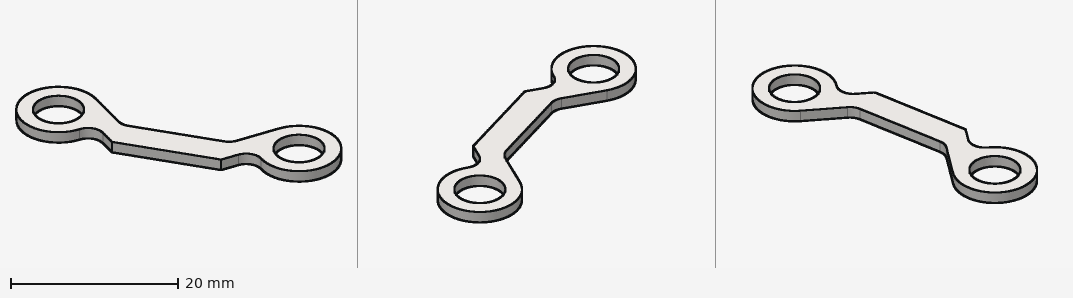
import cadquery as cq
import math

thickness = 1.5
eye_spacing = 30.0
eye_diameter = 10.1
hole_diameter = 6.1
bar_width = 4.0
arm_angle = 45.0
bend_radius = 2.0
notch_radius = 2.0

eye_radius = eye_diameter / 2
eye_x = eye_spacing / 2
bar_bottom = -eye_radius
bar_top = bar_bottom + bar_width

arm_sine = math.sin(math.radians(arm_angle))
arm_cosine = math.cos(math.radians(arm_angle))
arm_tangent = math.tan(math.radians(arm_angle))
half_bend = math.radians(arm_angle / 2)

tangent_x = eye_x - eye_radius * arm_sine
tangent_y = eye_radius * arm_cosine
bar_end_x = tangent_x - (tangent_y - bar_top) / arm_tangent


def arm_offset(along, across):
    """X and Y offsets for distances up the arm and to the upper left across it."""
    x = along * arm_cosine - across * arm_sine
    y = along * arm_sine + across * arm_cosine
    return x, y


def notch_center():
    """Center of the notch arc, tangent to the eye and to the lower arm edge."""
    lower_edge_distance = (eye_x - bar_end_x) * arm_sine + bar_bottom * arm_cosine
    across = lower_edge_distance - notch_radius
    along = -math.sqrt((eye_radius + notch_radius) ** 2 - across**2)
    x, y = arm_offset(along, across)
    return eye_x + x, y


def right_half():
    """Right half of the link without its hole, from the middle plane outward."""
    bend_x = bar_end_x - bend_radius * math.tan(half_bend)
    bend_y = bar_top + bend_radius
    bend_middle = (
        bend_x + bend_radius * math.sin(half_bend),
        bend_y - bend_radius * math.cos(half_bend),
    )
    bend_end = (bend_x + bend_radius * arm_sine, bend_y - bend_radius * arm_cosine)

    notch_x, notch_y = notch_center()
    eye_share = eye_radius / (eye_radius + notch_radius)
    eye_end = (eye_x + (notch_x - eye_x) * eye_share, notch_y * eye_share)
    notch_top = (notch_x, notch_y + notch_radius)
    to_edge_x, to_edge_y = arm_offset(0, notch_radius)
    notch_end = (notch_x + to_edge_x, notch_y + to_edge_y)

    return (
        cq.Workplane("XY")
        .moveTo(0, bar_top)
        .lineTo(bend_x, bar_top)
        .threePointArc(bend_middle, bend_end)
        .lineTo(tangent_x, tangent_y)
        .threePointArc((eye_x + eye_radius, 0), eye_end)
        .threePointArc(notch_top, notch_end)
        .lineTo(bar_end_x, bar_bottom)
        .lineTo(0, bar_bottom)
        .close()
        .extrude(thickness)
    )


def eye_holes():
    """Cutters for the through holes in both eyes."""
    return (
        cq.Workplane("XY")
        .pushPoints([(-eye_x, 0), (eye_x, 0)])
        .circle(hole_diameter / 2)
        .extrude(thickness)
    )


half = right_half()
link = half.union(half.mirror("YZ")).clean()
result = link.cut(eye_holes())